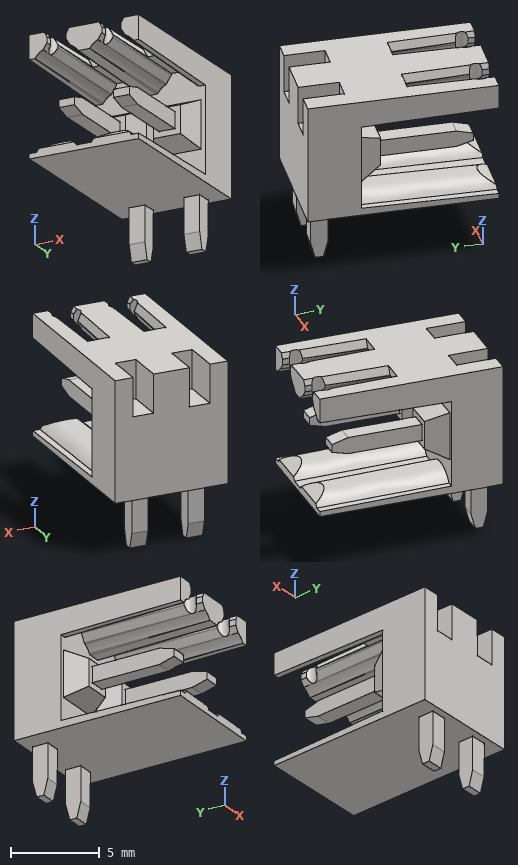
import cadquery as cq
import math

HOUSING_WIDTH = 7.0
HOUSING_LENGTH = 11.05
HOUSING_HEIGHT = 7.46
PIN_COUNT = 2
PITCH = HOUSING_WIDTH / PIN_COUNT
PIN_CENTRES = [(i - (PIN_COUNT - 1) / 2) * PITCH for i in range(PIN_COUNT)]
OVERRUN = 1.1

DRAFT_ANGLE = 1
CAVITY_DEPTH = 7.93
FLOOR_Z = 0.33
CEILING_Z = 5.96
HUMP_HALF_WIDTH = 1.29
HUMP_TOP_Z = 1.01
RECESS_TOP_Z = 7.03
RECESS_TOP_HALF_WIDTH = 0.54
RECESS_SHOULDER_Z = 6.87
RECESS_KINK_HALF_WIDTH = 0.85
RECESS_KINK_Z = 6.4
RECESS_MOUTH_HALF_WIDTH = 1.37
RECESS_ARC_RADIUS = 1.22

HUMP_SLOPE_LENGTH = 0.85
HUMP_SLOPE_FRONT_Z = 0.53
HUMP_SLOPE_BACK_Z = 1.02

SLOT_LENGTH = 5.06
SLOT_TOP_WIDTH = 1.56
SLOT_WAIST_WIDTH = 1.02
SLOT_WAIST_Z = 6.96

SNAP_RADIUS = 0.39
SNAP_SPACING = 0.94
SNAP_Y = 0.8
SNAP_MOUTH_WIDTH = 1.2

REAR_SLOT_WIDTH = 1.26
REAR_SLOT_LENGTH = 2.38
REAR_SLOT_DEPTH = REAR_SLOT_LENGTH

COLLAR_BASE = 2.96
COLLAR_TIP = 1.73
COLLAR_LENGTH = 1.3

PIN_SIZE = 1.02
PIN_AXIS_Z = 3.5
PIN_FRONT_Y = 1.2
PIN_LEG_Y = 10.09
PIN_LEG_DROP = 3.19
PIN_TIP_SIZE = 0.49
PIN_TAPER = 0.98


def box(x_range, y_range, z_range):
    """Axis-aligned box between pairs of limits."""
    limits = (x_range, y_range, z_range)
    size = [high - low for low, high in limits]
    return cq.Workplane("XY").box(*size, centered=False).translate([low for low, _ in limits])


def centred_range(centre, width):
    return centre - width / 2, centre + width / 2


def front_plane():
    """Plane of the front edge facing into the part; its local x runs along -X."""
    return cq.Workplane(cq.Plane(origin=(0, 0, 0), xDir=(-1, 0, 0), normal=(0, 1, 0)))


def cavity():
    """Drafted cavity with round floor humps and a ceiling recess over each pin."""
    side = HOUSING_WIDTH / 2 + OVERRUN
    outline = front_plane().moveTo(-side, FLOOR_Z)
    for x in PIN_CENTRES:
        outline = outline.lineTo(x - HUMP_HALF_WIDTH, FLOOR_Z)
        outline = outline.threePointArc((x, HUMP_TOP_Z), (x + HUMP_HALF_WIDTH, FLOOR_Z))
    outline = outline.lineTo(side, FLOOR_Z).lineTo(side, CEILING_Z)
    for x in reversed(PIN_CENTRES):
        outline = (
            outline.lineTo(x + RECESS_MOUTH_HALF_WIDTH, CEILING_Z)
            .radiusArc((x + RECESS_KINK_HALF_WIDTH, RECESS_KINK_Z), -RECESS_ARC_RADIUS)
            .lineTo(x + RECESS_TOP_HALF_WIDTH, RECESS_SHOULDER_Z)
            .lineTo(x + RECESS_TOP_HALF_WIDTH, RECESS_TOP_Z)
            .lineTo(x - RECESS_TOP_HALF_WIDTH, RECESS_TOP_Z)
            .lineTo(x - RECESS_TOP_HALF_WIDTH, RECESS_SHOULDER_Z)
            .lineTo(x - RECESS_KINK_HALF_WIDTH, RECESS_KINK_Z)
            .radiusArc((x - RECESS_MOUTH_HALF_WIDTH, CEILING_Z), -RECESS_ARC_RADIUS)
        )
    outline = outline.lineTo(-side, CEILING_Z)
    return outline.close().extrude(CAVITY_DEPTH, taper=DRAFT_ANGLE)


def hump_slope(x):
    """Wedge that bevels the front of one floor hump."""
    slope = (HUMP_SLOPE_BACK_Z - HUMP_SLOPE_FRONT_Z) / HUMP_SLOPE_LENGTH
    back_y = HUMP_SLOPE_LENGTH + OVERRUN
    back_z = HUMP_SLOPE_FRONT_Z + slope * back_y
    return (
        cq.Workplane("YZ", origin=(x - HUMP_HALF_WIDTH, 0, 0))
        .polyline([(0, HUMP_SLOPE_FRONT_Z), (back_y, back_z), (0, back_z)])
        .close()
        .extrude(2 * HUMP_HALF_WIDTH)
    )


def top_slot(x):
    """Drafted slot, narrow where it meets the cavity and flaring towards the top face."""
    flare = (SLOT_TOP_WIDTH - SLOT_WAIST_WIDTH) / 2 / (HOUSING_HEIGHT - SLOT_WAIST_Z)
    top_half = SLOT_TOP_WIDTH / 2 + flare * OVERRUN
    waist_half = SLOT_WAIST_WIDTH / 2
    top_z = HOUSING_HEIGHT + OVERRUN
    return (
        front_plane()
        .moveTo(x - top_half, top_z)
        .lineTo(x - waist_half, SLOT_WAIST_Z)
        .lineTo(x - waist_half, RECESS_KINK_Z)
        .lineTo(x + waist_half, RECESS_KINK_Z)
        .lineTo(x + waist_half, SLOT_WAIST_Z)
        .lineTo(x + top_half, top_z)
        .close()
        .extrude(SLOT_LENGTH, taper=DRAFT_ANGLE)
    )


def snap_notch(x):
    """Round recess in both flanks of a slot, with a straight-sided mouth in front of it."""
    mouth = box(centred_range(x, SNAP_MOUTH_WIDTH), (0, SNAP_Y), (RECESS_KINK_Z, HOUSING_HEIGHT))
    rounds = (
        cq.Workplane("XY", origin=(x, SNAP_Y, CEILING_Z))
        .pushPoints([(-SNAP_SPACING / 2, 0), (SNAP_SPACING / 2, 0)])
        .circle(SNAP_RADIUS)
        .extrude(HOUSING_HEIGHT - CEILING_Z)
    )
    return mouth.union(rounds)


def rear_slot(x):
    return box(
        centred_range(x, REAR_SLOT_WIDTH),
        (HOUSING_LENGTH - REAR_SLOT_LENGTH, HOUSING_LENGTH),
        (HOUSING_HEIGHT - REAR_SLOT_DEPTH, HOUSING_HEIGHT),
    )


def collar(x):
    """Square frustum that narrows towards the pin tip."""
    taper = math.degrees(math.atan((COLLAR_BASE - COLLAR_TIP) / 2 / COLLAR_LENGTH))
    return (
        cq.Workplane("XZ", origin=(x, CAVITY_DEPTH, PIN_AXIS_Z))
        .rect(COLLAR_BASE, COLLAR_BASE)
        .extrude(COLLAR_LENGTH, taper=taper)
    )


def make_pin(x):
    """L-shaped pin: a contact along Y and a solder leg along -Z."""
    half = PIN_SIZE / 2
    tip = PIN_TIP_SIZE / 2
    profile = [
        (PIN_FRONT_Y, PIN_AXIS_Z + tip),
        (PIN_FRONT_Y + PIN_TAPER, PIN_AXIS_Z + half),
        (PIN_LEG_Y + half, PIN_AXIS_Z + half),
        (PIN_LEG_Y + half, PIN_TAPER - PIN_LEG_DROP),
        (PIN_LEG_Y + tip, -PIN_LEG_DROP),
        (PIN_LEG_Y - tip, -PIN_LEG_DROP),
        (PIN_LEG_Y - half, PIN_TAPER - PIN_LEG_DROP),
        (PIN_LEG_Y - half, PIN_AXIS_Z - half),
        (PIN_FRONT_Y + PIN_TAPER, PIN_AXIS_Z - half),
        (PIN_FRONT_Y, PIN_AXIS_Z - tip),
    ]
    return cq.Workplane("YZ", origin=(x - half, 0, 0)).polyline(profile).close().extrude(PIN_SIZE)


def make_housing(pins):
    """Housing with one pin position per pitch; each pin fills a matching bore."""
    housing = box(centred_range(0, HOUSING_WIDTH), (0, HOUSING_LENGTH), (0, HOUSING_HEIGHT))
    housing = housing.cut(cavity())
    for x, pin in zip(PIN_CENTRES, pins):
        housing = housing.cut(hump_slope(x)).cut(top_slot(x)).cut(snap_notch(x)).cut(rear_slot(x))
        housing = housing.union(collar(x)).cut(pin)
    return housing


pins = [make_pin(x) for x in PIN_CENTRES]
housing = make_housing(pins)

result = cq.Compound.makeCompound([housing.solids().val(), *[pin.val() for pin in pins]])